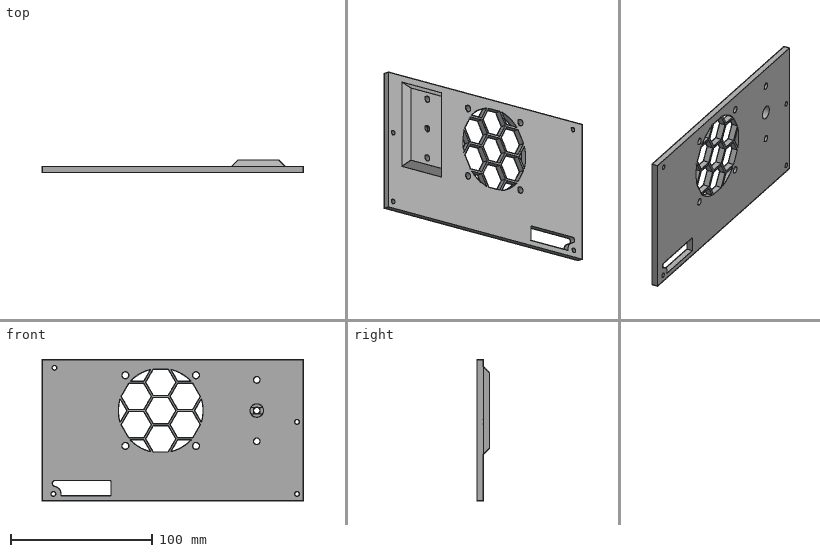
import cadquery as cq
import math

PLATE_WIDTH = 185.04
PLATE_HEIGHT = 100.02
PLATE_THICKNESS = 4.5
TOTAL_DEPTH = 9.0

FAN_X = 84.0
FAN_Z = 64.0
FAN_OPENING_DIAMETER = 59.8
FAN_SCREW_SPACING = 50.0
FAN_SCREW_DIAMETER = 4.7
HEX_PITCH = 20.0
HEX_WALL = 1.6
HEX_REACH = 2

BOSS_X = 153.2
BOSS_Z = 64.0
BOSS_WIDTH = 38.0
BOSS_HEIGHT = 62.5
BOSS_DEPTH = TOTAL_DEPTH - PLATE_THICKNESS
BOSS_SLOPE_RUN = BOSS_DEPTH

BOSS_HOLE_X = 152.0
BOSS_HOLE_DIAMETER = 4.5
BOSS_HOLE_SPACING = 21.75
COUNTERBORE_DIAMETER = 9.5
COUNTERBORE_DEPTH = 6.5
FLOOR_STEP = 0.3

MOUNT_DIAMETER = 3.2
CORNER_MOUNT = (8.0, 5.0)
MOUNTS = [CORNER_MOUNT, (8.8, 94.3), (180.5, 56.0), (180.5, 5.0)]

WINDOW_RIGHT = 48.8
WINDOW_BOTTOM = 3.8
WINDOW_TOP = 14.5
WINDOW_CORNER_RADIUS = 0.8
WINDOW_END_RADIUS = 2.07
MOUNT_PAD_RADIUS = 5.5


def front_plane(depth=0.0):
    """XZ sketch plane at a depth behind the front face; positive extrusion runs along -Y."""
    return cq.Workplane(cq.Plane(origin=(0, depth, 0), xDir=(1, 0, 0), normal=(0, -1, 0)))


def drill(points, diameter):
    """Round cutters through the whole depth."""
    return front_plane().pushPoints(points).circle(diameter / 2).extrude(-TOTAL_DEPTH)


def make_plate():
    return front_plane().rect(PLATE_WIDTH, PLATE_HEIGHT, centered=False).extrude(-PLATE_THICKNESS)


def make_boss():
    return (
        front_plane(PLATE_THICKNESS)
        .center(BOSS_X, BOSS_Z)
        .rect(BOSS_WIDTH, BOSS_HEIGHT)
        .workplane(offset=-BOSS_DEPTH)
        .rect(BOSS_WIDTH - 2 * BOSS_SLOPE_RUN, BOSS_HEIGHT - 2 * BOSS_SLOPE_RUN)
        .loft()
    )


def make_honeycomb_cutter():
    """Hexagonal cells on a staggered grid, trimmed to the round fan opening."""
    column_pitch = HEX_PITCH * math.sqrt(3) / 2
    cell_diameter = (HEX_PITCH - HEX_WALL) * 2 / math.sqrt(3)
    centers = []
    for column in range(-HEX_REACH, HEX_REACH + 1):
        stagger = HEX_PITCH / 2 * (column % 2)
        for row in range(-HEX_REACH, HEX_REACH + 1):
            centers.append((FAN_X + column * column_pitch, FAN_Z + row * HEX_PITCH + stagger))
    cells = front_plane().pushPoints(centers).polygon(6, cell_diameter).extrude(-PLATE_THICKNESS)
    return cells.intersect(drill([(FAN_X, FAN_Z)], FAN_OPENING_DIAMETER))


def make_fan_screw_cutter():
    offset = FAN_SCREW_SPACING / 2
    corners = [(FAN_X + i * offset, FAN_Z + j * offset) for i in (-1, 1) for j in (-1, 1)]
    return drill(corners, FAN_SCREW_DIAMETER)


def boss_hole_sketch():
    return front_plane().center(BOSS_HOLE_X, BOSS_Z)


def make_counterbore_cutter():
    """Counterbore whose floor steps down to the hole by a slot and then a square."""
    def bore(depth):
        return boss_hole_sketch().circle(COUNTERBORE_DIAMETER / 2).extrude(-depth)

    def block(width, depth):
        return boss_hole_sketch().rect(width, BOSS_HOLE_DIAMETER).extrude(-depth)

    slot_depth = COUNTERBORE_DEPTH + FLOOR_STEP
    square_depth = slot_depth + FLOOR_STEP
    slot = block(COUNTERBORE_DIAMETER, slot_depth).intersect(bore(slot_depth))
    square = block(BOSS_HOLE_DIAMETER, square_depth)
    return bore(COUNTERBORE_DEPTH).union(slot).union(square)


def make_boss_hole_cutter():
    return drill([(BOSS_HOLE_X, BOSS_Z + i * BOSS_HOLE_SPACING) for i in (-1, 0, 1)], BOSS_HOLE_DIAMETER)


def make_window_cutter():
    """Rectangular window with a round pad of plate left around the corner mounting hole."""
    pad_x, pad_z = CORNER_MOUNT
    center_distance = MOUNT_PAD_RADIUS + WINDOW_END_RADIUS
    end_z = WINDOW_TOP - WINDOW_END_RADIUS
    end_x = pad_x + math.sqrt(center_distance**2 - (end_z - pad_z) ** 2)
    touch_ratio = MOUNT_PAD_RADIUS / center_distance
    touch = (pad_x + (end_x - pad_x) * touch_ratio, pad_z + (end_z - pad_z) * touch_ratio)
    pad_right = pad_x + MOUNT_PAD_RADIUS
    diagonal = MOUNT_PAD_RADIUS * math.sqrt(0.5)
    pad_middle = (pad_x + diagonal, pad_z + diagonal)
    outline = (
        front_plane()
        .moveTo(pad_right, WINDOW_BOTTOM)
        .lineTo(WINDOW_RIGHT, WINDOW_BOTTOM)
        .lineTo(WINDOW_RIGHT, WINDOW_TOP - WINDOW_CORNER_RADIUS)
        .radiusArc((WINDOW_RIGHT - WINDOW_CORNER_RADIUS, WINDOW_TOP), -WINDOW_CORNER_RADIUS)
        .lineTo(end_x, WINDOW_TOP)
        .threePointArc((end_x - WINDOW_END_RADIUS, end_z), touch)
        .threePointArc(pad_middle, (pad_right, pad_z))
        .close()
    )
    return outline.extrude(-PLATE_THICKNESS)


result = (
    make_plate()
    .union(make_boss())
    .cut(make_honeycomb_cutter())
    .cut(make_fan_screw_cutter())
    .cut(make_boss_hole_cutter())
    .cut(make_counterbore_cutter())
    .cut(drill(MOUNTS, MOUNT_DIAMETER))
    .cut(make_window_cutter())
)